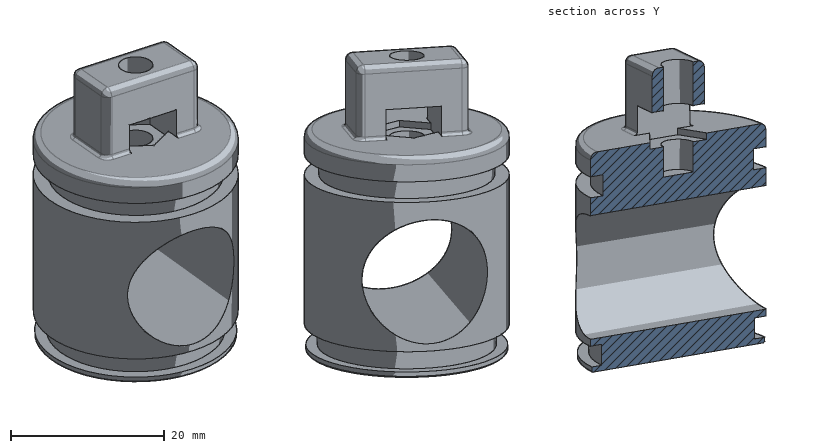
import cadquery as cq
import math

total_height = 40.0
shoulder_height = 30.0

body_diameter = 26.8
upper_groove_diameter = 23.0
lower_groove_diameter = 23.4
base_flange_diameter = 26.4
groove_width = 2.8
rim_thickness = 3.3
base_flange_thickness = 0.8
base_flange_chamfer = 0.2
rim_fillet = 1.0

cross_bore_diameter = 16.8
cross_bore_height = 13.0

lug_width = 8.0
lug_length = 15.0
lug_fillet = 1.0
lug_root_fillet = 0.5

window_length = 7.4
window_height = 4.0

screw_hole_diameter = 4.5
hex_across_flats = window_length
hex_depth = 0.9
screw_hole_floor_height = 25.0


def disc(diameter, bottom, height):
    return cq.Workplane("XY").workplane(offset=bottom).circle(diameter / 2).extrude(height)


def make_body():
    barrel_bottom = base_flange_thickness + groove_width
    rim_bottom = shoulder_height - rim_thickness
    barrel_top = rim_bottom - groove_width
    flange = disc(base_flange_diameter, 0, base_flange_thickness)
    flange = flange.faces("<Z").edges().chamfer(base_flange_chamfer)
    lower_neck = disc(lower_groove_diameter, base_flange_thickness, groove_width)
    barrel = disc(body_diameter, barrel_bottom, barrel_top - barrel_bottom)
    upper_neck = disc(upper_groove_diameter, barrel_top, groove_width)
    rim = disc(body_diameter, rim_bottom, rim_thickness)
    rim = rim.faces(">Z").edges().fillet(rim_fillet)
    return flange.union(lower_neck).union(barrel).union(upper_neck).union(rim)


def add_lug(body):
    """Add the rounded block and blend its foot into the shoulder face."""
    lug = (
        cq.Workplane("XY")
        .workplane(offset=shoulder_height)
        .rect(lug_width, lug_length)
        .extrude(total_height - shoulder_height)
        .edges("|Z or >Z")
        .fillet(lug_fillet)
    )
    foot_reach = 0.4
    foot = cq.selectors.BoxSelector(
        (-lug_width / 2 - foot_reach, -lug_length / 2 - foot_reach, shoulder_height - foot_reach),
        (lug_width / 2 + foot_reach, lug_length / 2 + foot_reach, shoulder_height + foot_reach),
    )
    return body.union(lug).edges(foot).fillet(lug_root_fillet)


def make_window():
    return (
        cq.Workplane("XY")
        .workplane(offset=shoulder_height)
        .rect(body_diameter, window_length)
        .extrude(window_height)
    )


def make_cross_bore():
    return (
        cq.Workplane("YZ")
        .center(0, cross_bore_height)
        .circle(cross_bore_diameter / 2)
        .extrude(body_diameter / 2, both=True)
    )


def make_hex_recess():
    """Hexagon with two opposite corners on the X axis."""
    across_corners = hex_across_flats / math.cos(math.pi / 6)
    return (
        cq.Workplane("XY")
        .workplane(offset=shoulder_height)
        .polygon(6, across_corners)
        .extrude(-hex_depth)
    )


def make_screw_hole():
    """Blind vertical hole from the lug top, ending above the cross bore."""
    return disc(screw_hole_diameter, screw_hole_floor_height, total_height - screw_hole_floor_height)


result = (
    add_lug(make_body())
    .cut(make_window())
    .cut(make_cross_bore())
    .cut(make_hex_recess())
    .cut(make_screw_hole())
)